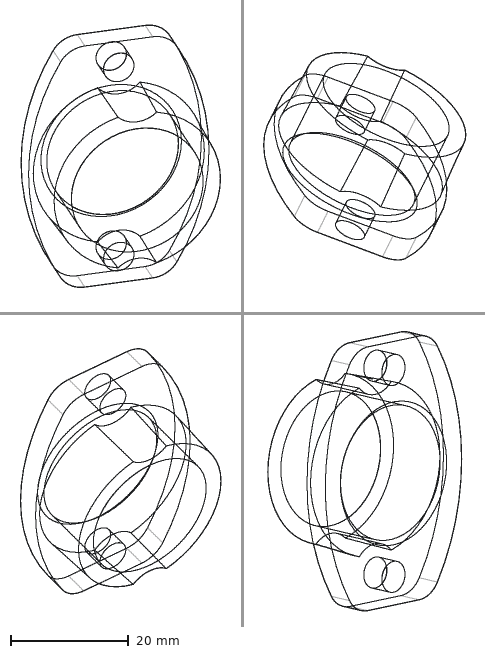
import cadquery as cq

flange_thickness = 4.5
flange_height = 46.0
flange_width = 32.0
side_radius = 40.0
corner_radius = 5.0

total_length = 15.5
spigot_base_diameter = 30.35
spigot_end_diameter = 29.55
bore_diameter = 23.35
bore_chamfer = 0.8

hole_diameter = 5.4
hole_offset = 18.05
scallop_diameter = 10.05

spigot_length = total_length - flange_thickness


def make_flange():
    """Plate with flat ends, bowed sides and rounded corners."""
    half_height = flange_height / 2
    half_width = flange_width / 2
    arc_center = side_radius - half_width
    half_flat = (side_radius**2 - half_height**2) ** 0.5 - arc_center
    return (
        cq.Workplane("YZ")
        .moveTo(-half_flat, -half_height)
        .lineTo(half_flat, -half_height)
        .threePointArc((half_width, 0), (half_flat, half_height))
        .lineTo(-half_flat, half_height)
        .threePointArc((-half_width, 0), (-half_flat, -half_height))
        .close()
        .extrude(flange_thickness)
        .edges("|X")
        .fillet(corner_radius)
    )


def make_spigot():
    """Cone tapering away from the flange, scalloped beside both screw holes."""
    cone = (
        cq.Workplane("YZ", origin=(flange_thickness, 0, 0))
        .circle(spigot_base_diameter / 2)
        .workplane(offset=spigot_length)
        .circle(spigot_end_diameter / 2)
        .loft(ruled=True)
    )
    return cone.cut(screw_cylinders(scallop_diameter))


def screw_cylinders(diameter):
    """Cylinders along both screw axes, running the full length of the part."""
    return (
        cq.Workplane("YZ")
        .pushPoints([(0, -hole_offset), (0, hole_offset)])
        .circle(diameter / 2)
        .extrude(total_length)
    )


def make_bore():
    """Through bore with a chamfered mouth on the flange face."""
    bore_radius = bore_diameter / 2
    return (
        cq.Workplane("XY")
        .moveTo(0, 0)
        .lineTo(0, bore_radius + bore_chamfer)
        .lineTo(bore_chamfer, bore_radius)
        .lineTo(total_length, bore_radius)
        .lineTo(total_length, 0)
        .close()
        .revolve(360, (0, 0, 0), (1, 0, 0))
    )


body = make_flange().union(make_spigot())
result = body.cut(make_bore()).cut(screw_cylinders(hole_diameter))